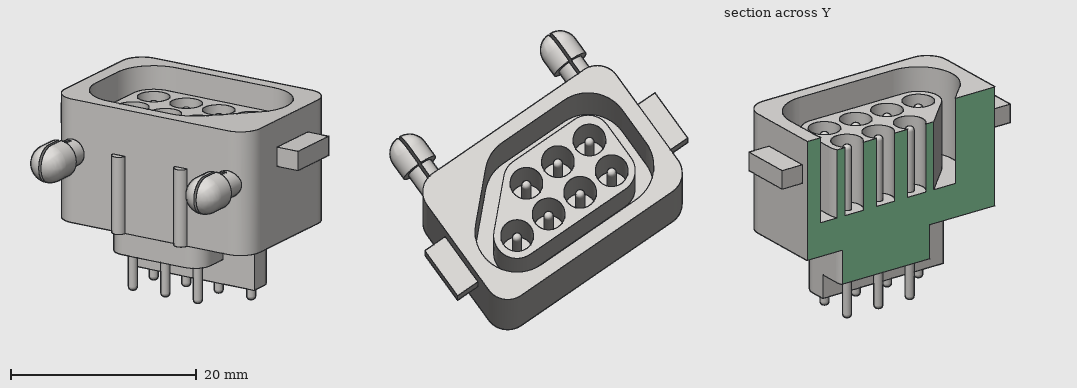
import cadquery as cq

body_length = 24.95
body_width = 16.5
body_height = 14.03
body_corner_radius = 2.5
front_y = -body_width / 2

pin_pitch = 4.15
rear_row_y = 2.2
front_row_y = rear_row_y - pin_pitch
first_pin_x = -1.5 * pin_pitch
rear_pin_count = 4
front_pin_count = 3

core_half_length = 6.25
core_half_width = 2.2
island_margin = 2.5
island_gap = 2.0
island_drop = 2.0
recess_depth = 10
recess_floor_z = body_height - recess_depth
island_top_z = body_height - island_drop

socket_diameter = 3.5
pin_diameter = 1.0
pin_tip_radius = 0.42
pin_top_drop = 0.45
pin_top_z = island_top_z - pin_top_drop
pin_bottom_z = -8.73

stem_length = 16.0
stem_front_length = 12.0
stem_rear_y = 3.9
stem_front_y = -4.42
stem_step_y = 0.05
stem_rear_drop = 6.8
stem_front_drop = 4.0
stem_corner_radius = 2.0

overall_length = 30.3
tab_width = 6.12
tab_thickness = 2.18
tab_center_y = 0.7
tab_bottom_z = 8.8

rib_spacing = 7.95
rib_radius = 0.8
rib_height = 8.75

peg_spacing = 19.82
peg_z = 8.0
peg_neck_diameter = 3.0
peg_root_depth = 1.2
peg_neck_length = 2.48
peg_head_diameter = 4.18
peg_head_length = 4.0
peg_dome_radius = 2.0
peg_slot_width = 0.3
peg_slot_start = 0.48
peg_reach = peg_neck_length + peg_head_length


def box(x_min, x_max, y_min, y_max, z_min, z_max):
    size = (x_max - x_min, y_max - y_min, z_max - z_min)
    return cq.Workplane().box(*size, centered=False).translate((x_min, y_min, z_min))


def keyed_prism(margin, z_min, z_max):
    """Prism around the core outline, whose front right corner is cut back at 45 degrees."""
    core = [
        (-core_half_length, core_half_width),
        (core_half_length, core_half_width),
        (core_half_length - 2 * core_half_width, -core_half_width),
        (-core_half_length, -core_half_width),
    ]
    outline = cq.Workplane("XY", origin=(0, 0, z_min)).polyline(core).close().offset2D(margin)
    return outline.extrude(z_max - z_min)


def make_housing():
    block = cq.Workplane().rect(body_length, body_width).extrude(body_height)
    block = block.edges("|Z").fillet(body_corner_radius)
    recess = keyed_prism(island_margin + island_gap, recess_floor_z, body_height)
    island = keyed_prism(island_margin, recess_floor_z, island_top_z)
    return block.cut(recess).union(island)


def make_stem():
    """L-shaped stem: the rear part is longer and reaches deeper than the front part."""
    left = -stem_length / 2
    rear = box(left, left + stem_length, stem_step_y, stem_rear_y, -stem_rear_drop, 0)
    rear = rear.edges("|Z and >Y").fillet(stem_corner_radius)
    front = box(left, left + stem_front_length, stem_front_y, stem_step_y, -stem_front_drop, 0)
    front = front.edges("|Z and <Y").fillet(stem_corner_radius)
    return rear.union(front)


def pin_positions():
    rear = [(first_pin_x + i * pin_pitch, rear_row_y) for i in range(rear_pin_count)]
    front = [(first_pin_x + i * pin_pitch, front_row_y) for i in range(front_pin_count)]
    return rear + front


def make_sockets():
    sockets = cq.Workplane("XY", origin=(0, 0, recess_floor_z)).pushPoints(pin_positions())
    return sockets.circle(socket_diameter / 2).extrude(island_top_z - recess_floor_z)


def make_pins():
    pins = cq.Workplane("XY", origin=(0, 0, pin_bottom_z)).pushPoints(pin_positions())
    pins = pins.circle(pin_diameter / 2).extrude(pin_top_z - pin_bottom_z)
    return pins.edges("%CIRCLE").fillet(pin_tip_radius)


def make_tabs():
    """Tabs on both ends, cut from one bar whose middle is removed to keep the recess open."""
    y_min = tab_center_y - tab_width / 2
    y_max = tab_center_y + tab_width / 2
    z_max = tab_bottom_z + tab_thickness
    bar = box(-overall_length / 2, overall_length / 2, y_min, y_max, tab_bottom_z, z_max)
    middle = box(-body_length / 2, body_length / 2, y_min, y_max, tab_bottom_z, z_max)
    return bar.cut(middle)


def make_ribs():
    ribs = cq.Workplane().pushPoints([(-rib_spacing / 2, front_y), (rib_spacing / 2, front_y)])
    return ribs.circle(rib_radius).extrude(rib_height)


def make_peg(x):
    """Peg pointing to -Y, rooted behind the rounded housing corner and split by a slot."""
    root_y = front_y + peg_root_depth
    neck = cq.Workplane("XZ", origin=(x, root_y, peg_z)).circle(peg_neck_diameter / 2)
    neck = neck.extrude(peg_root_depth + peg_neck_length)
    head = cq.Workplane("XZ", origin=(x, front_y - peg_neck_length, peg_z))
    head = head.circle(peg_head_diameter / 2).extrude(peg_head_length)
    head = head.faces("<Y").edges().fillet(peg_dome_radius)
    slot = box(
        x - peg_slot_width / 2,
        x + peg_slot_width / 2,
        front_y - peg_reach,
        front_y - peg_slot_start,
        peg_z - peg_head_diameter / 2,
        peg_z + peg_head_diameter / 2,
    )
    return neck.union(head).cut(slot)


result = make_housing().union(make_stem()).cut(make_sockets()).union(make_pins())
result = result.union(make_tabs()).union(make_ribs())
for peg_x in (-peg_spacing / 2, peg_spacing / 2):
    result = result.union(make_peg(peg_x))